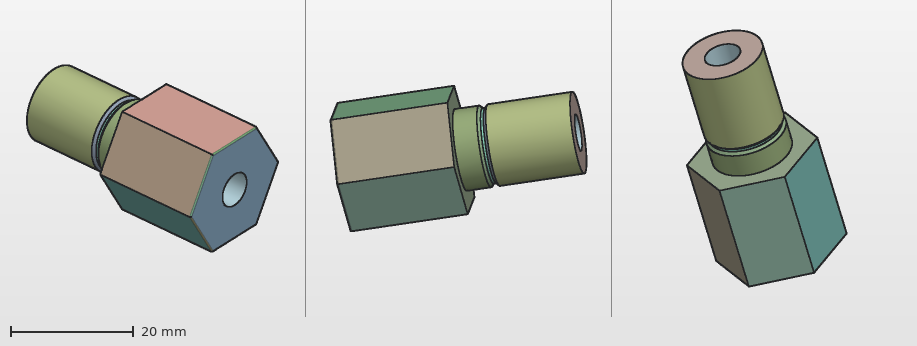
import cadquery as cq
import math

total_length = 39.0
hex_length = 19.5
hex_across_flats = 19.0
hex_end_fillet = 0.25
spigot_diameter = 13.5
bore_diameter = 6.0
groove_start = 14.0
groove_depth = 0.5
groove_floor_width = 0.45

spigot_length = total_length - hex_length
spigot_radius = spigot_diameter / 2
hex_across_corners = hex_across_flats / math.cos(math.radians(30))
groove_width = groove_floor_width + 2 * groove_depth


def make_hex_body():
    """Hexagon with corners on +Y and -Y, edges rounded at its free end."""
    body = (
        cq.Workplane("YZ")
        .workplane(offset=spigot_length)
        .polygon(6, hex_across_corners)
        .extrude(hex_length)
    )
    return body.faces(">X").edges().fillet(hex_end_fillet)


def make_spigot():
    """Cylinder turned with one trapezoidal groove."""
    floor_radius = spigot_radius - groove_depth
    floor_start = groove_start + groove_depth
    profile = (
        cq.Workplane("XY")
        .moveTo(0, 0)
        .lineTo(0, spigot_radius)
        .lineTo(groove_start, spigot_radius)
        .lineTo(floor_start, floor_radius)
        .lineTo(floor_start + groove_floor_width, floor_radius)
        .lineTo(groove_start + groove_width, spigot_radius)
        .lineTo(spigot_length, spigot_radius)
        .lineTo(spigot_length, 0)
        .close()
    )
    return profile.revolve(360, (0, 0, 0), (1, 0, 0))


def make_bore():
    """Straight hole through the whole part."""
    return cq.Workplane("YZ").circle(bore_diameter / 2).extrude(total_length)


result = make_hex_body().union(make_spigot()).cut(make_bore())